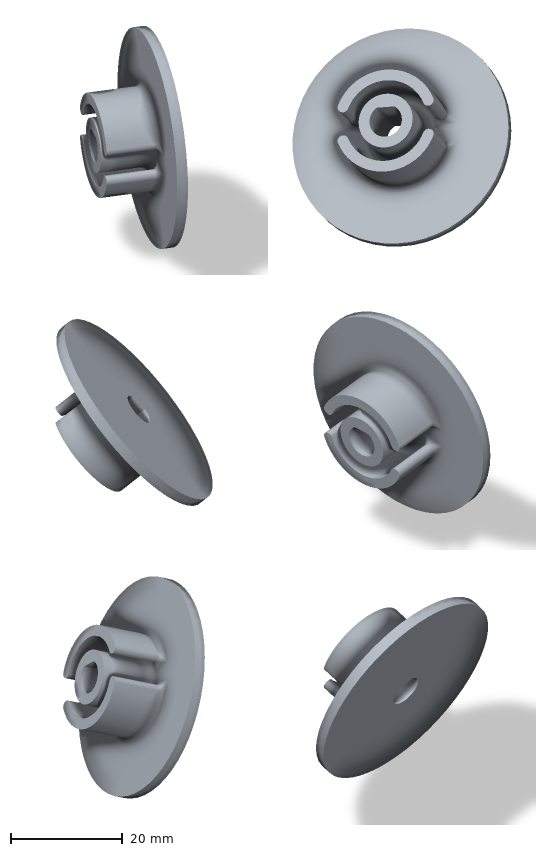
import cadquery as cq
import math

disc_diameter = 40
disc_thickness = 2
total_depth = 12
hub_diameter = 10
hub_root_radius = 2
bore_diameter = 6
bore_flat_height = 2.5
wall_outer_diameter = 19.0
wall_thickness = 2
wall_end_angle = 15
wall_root_radius = 1.0
tip_clearance = 0.02

wall_outer_radius = wall_outer_diameter / 2
wall_inner_radius = wall_outer_radius - wall_thickness
wall_tip_radius = wall_thickness / 2 - tip_clearance
tolerance = 0.005

outer_root_mid_angle = 135
end_root_mid_angle = 45


def make_disc_and_hub():
    """Disc with a central hub, blended by a concave fillet."""
    disc = cq.Workplane("XZ").circle(disc_diameter / 2).extrude(disc_thickness)
    hub = cq.Workplane("XZ").circle(hub_diameter / 2).extrude(total_depth)
    root = cq.selectors.RadiusNthSelector(0)
    body = disc.union(hub)
    return body.faces("<Y[-2]").edges(root).fillet(hub_root_radius)


def arc_point(center, radius, angle):
    """Point on an arc at an angle in degrees from its centre."""
    turn = math.radians(angle)
    return center[0] + radius * math.cos(turn), center[1] + radius * math.sin(turn)


def make_wall_ring():
    """Full ring with a flared root outside and a trough blend towards the hub inside."""
    hub_root_center = (hub_diameter / 2 + hub_root_radius, -disc_thickness - hub_root_radius)
    center_x = wall_inner_radius - wall_root_radius
    step_x = hub_root_center[0] - center_x
    step_y = math.sqrt((hub_root_radius - wall_root_radius) ** 2 - step_x**2)
    inner_center = (center_x, hub_root_center[1] + step_y)
    contact_angle = math.degrees(math.atan2(step_y, -step_x))
    contact = arc_point(inner_center, wall_root_radius, contact_angle)
    root_top = -disc_thickness - wall_root_radius
    outer_center = (wall_outer_radius + wall_root_radius, root_top)
    return (
        cq.Workplane("XY")
        .moveTo(wall_inner_radius, -total_depth)
        .lineTo(wall_inner_radius, inner_center[1])
        .threePointArc(arc_point(inner_center, wall_root_radius, contact_angle / 2), contact)
        .lineTo(contact[0], -disc_thickness / 2)
        .lineTo(outer_center[0], -disc_thickness / 2)
        .lineTo(outer_center[0], -disc_thickness)
        .threePointArc(
            arc_point(outer_center, wall_root_radius, outer_root_mid_angle), (wall_outer_radius, root_top)
        )
        .lineTo(wall_outer_radius, -total_depth)
        .close()
        .revolve(360, (0, 0, 0), (0, 1, 0))
    )


def make_end_limit():
    """Block above the +X wall end, whose lower face flares out at the root."""
    root_top = -disc_thickness - wall_root_radius
    center = (root_top, -wall_root_radius)
    return (
        cq.Workplane("YZ")
        .moveTo(-total_depth, 0)
        .lineTo(root_top, 0)
        .threePointArc(
            arc_point(center, wall_root_radius, end_root_mid_angle), (-disc_thickness, -wall_root_radius)
        )
        .lineTo(0, -wall_root_radius)
        .lineTo(0, disc_diameter)
        .lineTo(-total_depth, disc_diameter)
        .close()
        .extrude(disc_diameter / 2, both=True)
        .rotate((0, 0, 0), (0, 1, 0), -wall_end_angle)
    )


def is_wall_corner(edge):
    """True for the long straight edges at the wall ends."""
    middle = edge.positionAt(0.5)
    radius = math.hypot(middle.x, middle.z)
    parallel_to_axis = abs(edge.tangentAt(0.5).y) > 0.4 - tolerance
    on_wall = wall_inner_radius - tolerance < radius < wall_outer_radius + tolerance
    above_root = middle.y < -disc_thickness - wall_root_radius
    return parallel_to_axis and on_wall and above_root


def make_upper_wall():
    """Arc-shaped wall on the +Z side with flared roots and rounded ends."""
    end_limit = make_end_limit()
    wall = make_wall_ring().intersect(end_limit).intersect(end_limit.mirror("YZ"))
    corners = [edge for edge in wall.edges().vals() if is_wall_corner(edge)]
    return wall.newObject(corners).fillet(wall_tip_radius)


def make_bore():
    """D-shaped through bore with its flat on the +Z side."""
    half_flat = math.sqrt((bore_diameter / 2) ** 2 - bore_flat_height**2)
    return (
        cq.Workplane("XZ")
        .moveTo(-half_flat, bore_flat_height)
        .threePointArc((0, -bore_diameter / 2), (half_flat, bore_flat_height))
        .close()
        .extrude(total_depth)
    )


upper_wall = make_upper_wall()
lower_wall = upper_wall.mirror("XY")
result = make_disc_and_hub().union(upper_wall).union(lower_wall).cut(make_bore())